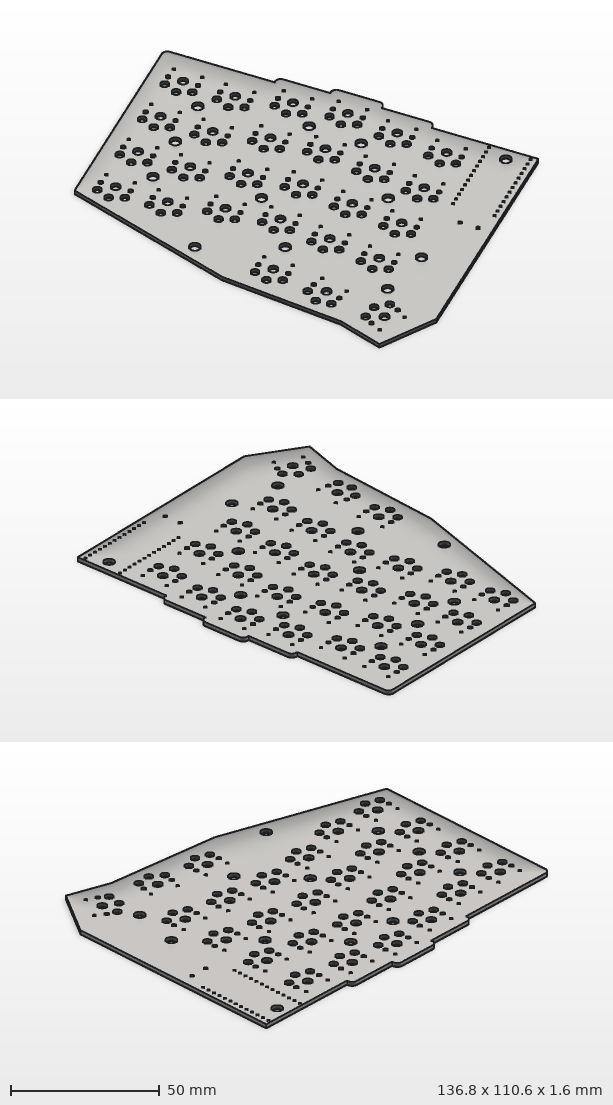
import cadquery as cq
import math


board_width = 136.8
board_depth = 110.6
board_thickness = 1.6
outline_step = 2.5
corner_radius = 2.0
upper_step_half_width = 9.5
lower_step_half_width = 28.7
left_edge_bottom = 29.7
lower_edge_points = [(62.5, 9.8), (107.8, 5.3), (124.2, 0)]
right_edge_bottom = 19.0

row_count = 4
key_pitch = 57.2 / (row_count - 1)
first_column_x = 11.9
first_row_y = 36.9
stagger_unit = 5.2 / 3
column_stagger = [0, 0, 2.7, 4.1, 2.7, 1.4]
tallest_column = column_stagger.index(max(column_stagger))

thumb_keys = [(76.7, 20.2, 0), (97.5, 17.1, -15), (120.3, 13.3, -120)]

stem_diameter = 3.4
side_post_diameter = 1.6
side_post_offset = 5.5
contact_diameter = 3.0
contact_offset_x = 5.0
contact_offset_y = -3.8
lower_contact_y = -5.9
diode_diameter = 0.98
diode_offset_x = 5.2
diode_offset_y = 4.2

pin_diameter = 0.85
pin_count = 13
pin_pitch = 30.5 / (pin_count - 1)
first_pin_y = 74.0
pin_column_x = [119.2, 134.4]

reset_diameter = 1.3
reset_y = 66.2
reset_x = [125.1, 131.7]

mount_diameter = 4.0
free_mounts = [
    (48.1, 20.0),
    (59.1, 51.1),
    (59.6, 90.3),
    (76.0, 31.9),
    (79.0, 89.3),
    (98.2, 67.8),
    (115.8, 26.4),
    (120.0, 45.3),
    (126.8, 101.2),
]


def key_center(column, row):
    """Centre of a matrix key, counting columns from the left and rows from below."""
    x = first_column_x + column * key_pitch
    y = first_row_y + row * key_pitch + column_stagger[column] * stagger_unit
    return x, y


def place(key, offset):
    """Position of a hole offset from the centre of a (possibly rotated) key."""
    x, y, degrees = key
    cosine = math.cos(math.radians(degrees))
    sine = math.sin(math.radians(degrees))
    return x + offset[0] * cosine - offset[1] * sine, y + offset[0] * sine + offset[1] * cosine


def make_board():
    """Flat board with a stepped top edge whose outer corners are rounded."""
    center_x = key_center(tallest_column, 0)[0]
    middle_y = board_depth - outline_step
    side_y = middle_y - outline_step
    rounded_corners = [
        (0, side_y),
        (center_x - lower_step_half_width, middle_y),
        (center_x - upper_step_half_width, board_depth),
        (center_x + upper_step_half_width, board_depth),
        (center_x + lower_step_half_width, middle_y),
    ]
    outline = [
        (0, left_edge_bottom),
        *lower_edge_points,
        (board_width, right_edge_bottom),
        (board_width, side_y),
        (center_x + lower_step_half_width, side_y),
        (center_x + lower_step_half_width, middle_y),
        (center_x + upper_step_half_width, middle_y),
        (center_x + upper_step_half_width, board_depth),
        (center_x - upper_step_half_width, board_depth),
        (center_x - upper_step_half_width, middle_y),
        (center_x - lower_step_half_width, middle_y),
        (center_x - lower_step_half_width, side_y),
        (0, side_y),
    ]
    board = cq.Workplane("XY").polyline(outline).close().extrude(board_thickness)
    for x, y in rounded_corners:
        corner = cq.selectors.NearestToPointSelector((x, y, board_thickness / 2))
        board = board.edges("|Z").edges(corner).fillet(corner_radius)
    return board


def drill(board, points, diameter):
    """Cut a through hole of the given diameter at every point."""
    drills = cq.Workplane("XY").pushPoints(points).circle(diameter / 2).extrude(board_thickness)
    return board.cut(drills)


def drill_keys(board, keys):
    """Stem, side post, contact and diode holes of every key."""
    hole_groups = [
        (stem_diameter, [(0, 0)]),
        (side_post_diameter, [(side * side_post_offset, 0) for side in (-1, 1)]),
        (
            contact_diameter,
            [
                (-contact_offset_x, contact_offset_y),
                (0, lower_contact_y),
                (contact_offset_x, contact_offset_y),
            ],
        ),
        (diode_diameter, [(side * diode_offset_x, diode_offset_y) for side in (-1, 1)]),
    ]
    for diameter, offsets in hole_groups:
        points = [place(key, offset) for key in keys for offset in offsets]
        board = drill(board, points, diameter)
    return board


matrix_keys = [
    (*key_center(column, row), 0)
    for column in range(len(column_stagger))
    for row in range(row_count)
]
plate = drill_keys(make_board(), matrix_keys + thumb_keys)

pins = [(x, first_pin_y + i * pin_pitch) for x in pin_column_x for i in range(pin_count)]
plate = drill(plate, pins, pin_diameter)
plate = drill(plate, [(x, reset_y) for x in reset_x], reset_diameter)

between_columns_x = first_column_x + key_pitch / 2
left_mounts = [
    (between_columns_x, first_row_y + (row + 0.5) * key_pitch) for row in range(row_count - 1)
]
result = drill(plate, left_mounts + free_mounts, mount_diameter)